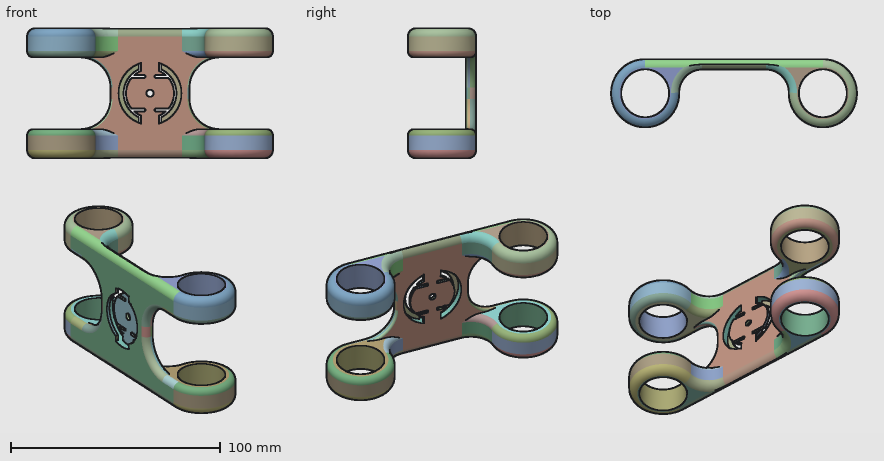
import cadquery as cq
import math

LENGTH = 117.2
HEIGHT = 62.0

RING_RADIUS = 16.3
BORE_RADIUS = 11.4
RING_HEIGHT = 14.0
OUTER_FILLET = 4.0
INNER_FILLET = 3.0
RING_X = LENGTH / 2 - RING_RADIUS
RING_TOP = HEIGHT / 2
RING_BOTTOM = RING_TOP - RING_HEIGHT

PLATE_THICKNESS = 5.0
BACK_Y = RING_RADIUS
FRONT_Y = BACK_Y - PLATE_THICKNESS
BLEND_RADIUS = 10.8

WAIST_HALF_WIDTH = 18.9
SCALLOP_RADIUS = 14.3
SCALLOP_EDGE_FILLET = 1.0

POCKET_RADIUS = 15.0
LEDGE_RADIUS = 12.5
DISC_RADIUS = 11.5
POCKET_DEPTH = 3.5
DISC_THICKNESS = 1.5
POCKET_HALF_GAP = 4.3
END_SLIT_WIDTH = 1.0
SLOT_WIDTH = 1.4
SLOT_Z = 8.0
SLOT_INNER_X = 2.2
CENTRE_HOLE_RADIUS = 1.6

MARGIN = 5.9


def round_rims(body, edges):
    """Round the chosen edges of the upper and lower faces of an arm solid."""
    body = body.faces(">Z").edges(edges).fillet(OUTER_FILLET)
    return body.faces("<Z").edges(edges).fillet(INNER_FILLET)


def ring(x):
    """Solid disc with both rims rounded, centred at the given X."""
    disc = cq.Workplane("XY", origin=(x, 0, RING_BOTTOM)).circle(RING_RADIUS).extrude(RING_HEIGHT)
    return round_rims(disc, None)


def web_back():
    """Block between the ring axes with the rounded back edges of the arm."""
    block = cq.Workplane("XY", origin=(0, 0, RING_BOTTOM)).rect(2 * RING_X, 2 * BACK_Y).extrude(RING_HEIGHT)
    return round_rims(block, ">Y")


def web_front():
    """Block between the ring axes with the rounded necks and front edge of the arm."""
    back = BACK_Y + MARGIN
    blend_y = FRONT_Y - BLEND_RADIUS
    centre_distance = RING_RADIUS + BLEND_RADIUS
    ring_angle = math.asin(blend_y / centre_distance)
    blend_x = RING_X - centre_distance * math.cos(ring_angle)
    neck_x = RING_X - RING_RADIUS * math.cos(ring_angle)
    neck_y = RING_RADIUS * math.sin(ring_angle)
    mid_angle = (math.pi / 2 - ring_angle) / 2
    mid_x = blend_x + BLEND_RADIUS * math.cos(mid_angle)
    mid_y = blend_y + BLEND_RADIUS * math.sin(mid_angle)
    block = (
        cq.Workplane("XY", origin=(0, 0, RING_BOTTOM))
        .moveTo(-RING_X, back)
        .lineTo(-RING_X, 0)
        .lineTo(-neck_x, neck_y)
        .threePointArc((-mid_x, mid_y), (-blend_x, FRONT_Y))
        .lineTo(blend_x, FRONT_Y)
        .threePointArc((mid_x, mid_y), (neck_x, neck_y))
        .lineTo(RING_X, 0)
        .lineTo(RING_X, back)
        .close()
        .extrude(RING_HEIGHT)
    )
    tolerance = 0.01
    front_edges = cq.selectors.BoxSelector(
        (-neck_x - tolerance, neck_y + tolerance, 0), (neck_x + tolerance, FRONT_Y + tolerance, HEIGHT)
    )
    return round_rims(block, front_edges)


def arm():
    """Upper arm: two rings joined by the web."""
    web = web_back().intersect(web_front())
    return web.union(ring(-RING_X)).union(ring(RING_X))


def plate():
    """Plate with a scalloped waist; its upper and lower ends lie inside the arms."""
    end_z = (RING_TOP + RING_BOTTOM) / 2
    end_x = WAIST_HALF_WIDTH + SCALLOP_RADIUS
    straight_z = RING_BOTTOM - SCALLOP_RADIUS
    mid_x = end_x - SCALLOP_RADIUS * math.sqrt(0.5)
    mid_z = straight_z + SCALLOP_RADIUS * math.sqrt(0.5)
    body = (
        cq.Workplane("XZ", origin=(0, BACK_Y, 0))
        .moveTo(-end_x, end_z)
        .lineTo(end_x, end_z)
        .lineTo(end_x, RING_BOTTOM)
        .threePointArc((mid_x, mid_z), (WAIST_HALF_WIDTH, straight_z))
        .lineTo(WAIST_HALF_WIDTH, -straight_z)
        .threePointArc((mid_x, -mid_z), (end_x, -RING_BOTTOM))
        .lineTo(end_x, -end_z)
        .lineTo(-end_x, -end_z)
        .lineTo(-end_x, -RING_BOTTOM)
        .threePointArc((-mid_x, -mid_z), (-WAIST_HALF_WIDTH, -straight_z))
        .lineTo(-WAIST_HALF_WIDTH, straight_z)
        .threePointArc((-mid_x, mid_z), (-end_x, RING_BOTTOM))
        .close()
        .extrude(PLATE_THICKNESS)
    )
    reach = end_x + MARGIN
    waist = cq.selectors.BoxSelector(
        (-reach, FRONT_Y - MARGIN, -RING_BOTTOM), (reach, BACK_Y + MARGIN, RING_BOTTOM)
    )
    body = body.faces(">Y").edges(waist).fillet(INNER_FILLET)
    return body.faces("<Y").edges(waist).fillet(SCALLOP_EDGE_FILLET)


def bores():
    """Straight bores through all four rings."""
    centres = [(-RING_X, 0), (RING_X, 0)]
    return (
        cq.Workplane("XY", origin=(0, 0, -RING_TOP))
        .pushPoints(centres)
        .circle(BORE_RADIUS)
        .extrude(HEIGHT)
    )


def annulus(outer, inner, depth):
    """Ring-shaped cutter sunk into the plate front."""
    return cq.Workplane("XZ", origin=(0, FRONT_Y + depth, 0)).circle(outer).circle(inner).extrude(depth)


def side_band(start_x, end_x, side):
    """Full-height block covering start_x to end_x on one side of the plate."""
    return cq.Workplane("XY").box(end_x - start_x, 2 * LENGTH, HEIGHT).translate(
        (side * (start_x + end_x) / 2, 0, 0)
    )


def side_cutout(side):
    """Stepped crescent and two round-ended slots on one side of the plate."""
    outside = side_band(POCKET_HALF_GAP, POCKET_RADIUS + MARGIN, side)
    end_slit = side_band(POCKET_HALF_GAP, POCKET_HALF_GAP + END_SLIT_WIDTH, side)
    pocket = annulus(POCKET_RADIUS, DISC_RADIUS, POCKET_DEPTH).intersect(outside)
    arc_slit = annulus(LEDGE_RADIUS, DISC_RADIUS, PLATE_THICKNESS).intersect(outside)
    end_slits = annulus(POCKET_RADIUS, DISC_RADIUS, PLATE_THICKNESS).intersect(end_slit)

    slot_outer_x = math.sqrt(LEDGE_RADIUS**2 - (SLOT_Z + SLOT_WIDTH / 2) ** 2)
    slots = (
        cq.Workplane("XZ", origin=(0, BACK_Y, 0))
        .pushPoints([(side * (SLOT_INNER_X + slot_outer_x) / 2, z) for z in (-SLOT_Z, SLOT_Z)])
        .slot2D(slot_outer_x - SLOT_INNER_X, SLOT_WIDTH)
        .extrude(PLATE_THICKNESS)
    )
    return pocket.union(arc_slit).union(end_slits).union(slots)


def back_recess():
    """Recess behind the disc and its webs, leaving the two side ledges standing."""
    depth = PLATE_THICKNESS - DISC_THICKNESS
    ledge_x = POCKET_HALF_GAP + END_SLIT_WIDTH
    sketch = cq.Workplane("XZ", origin=(0, BACK_Y, 0))
    behind_webs = sketch.circle(POCKET_RADIUS).extrude(depth).intersect(side_band(-ledge_x, ledge_x, 1))
    behind_disc = sketch.circle(LEDGE_RADIUS).extrude(depth)
    return behind_webs.union(behind_disc)


def centre_hole():
    """Hole through the middle of the plate."""
    return cq.Workplane("XZ", origin=(0, BACK_Y, 0)).circle(CENTRE_HOLE_RADIUS).extrude(PLATE_THICKNESS)


upper_arm = arm()
lower_arm = upper_arm.mirror("XY")

result = plate().union(upper_arm).union(lower_arm).cut(bores()).cut(back_recess()).cut(centre_hole())
for side in (-1, 1):
    result = result.cut(side_cutout(side))